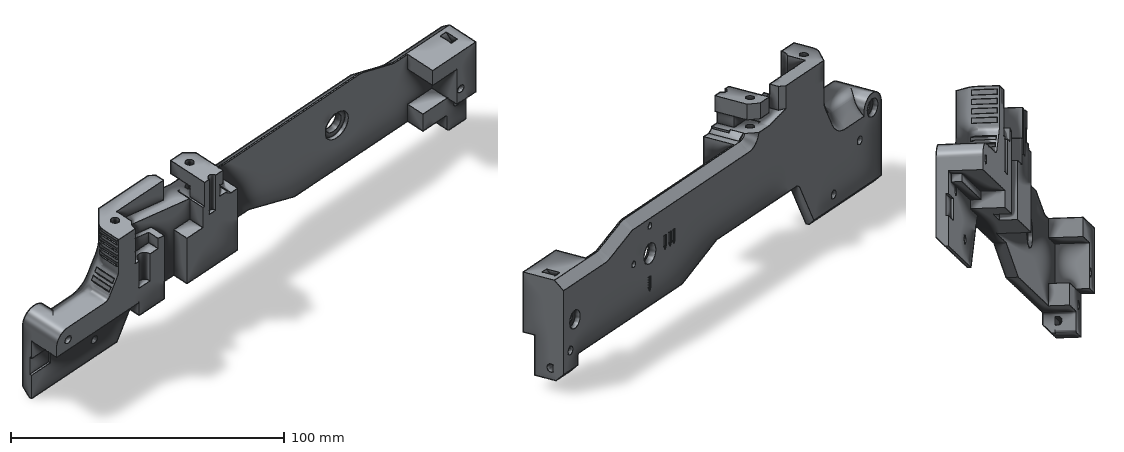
import cadquery as cq
import math


LENGTH = 218.2
HEIGHT = 65.0
WIDTH = 17.5
PLATE = 4.5

SLANT_FOOT_Y = 44.5
SLANT_TOP_Y = 56.7
BELLY_Z = 21.5
BELLY_REAR_Y = 113.0
TAIL_Z = 13.0
TAIL_FRONT_Y = 136.8
FOOT_Y = 208.5
FOOT_Z = 5.2

REAR_TOP_Z = 45.6
RAMP_REAR_Y = 188.5
RAMP_FRONT_Y = 171.5
SPINE_Z = 51.5
SPINE_FRONT_Y = 90.8
SADDLE_Z = 53.5
SADDLE_REAR_Y = 87.5
POST_FRONT_Y = 77.0
WALL_REAR_Y = 67.5
WALL_FOOT_Z = 55.5
WALL_X = 6.0
WALL_BEVEL = 2.0

TOWER_REAR_Y = 43.0
TOWER_FRONT_Y = 32.3
TOWER_FOOT_Z = 48.7
LEDGE_REAR_Y = 26.6
LEDGE_Z = 38.8
LEDGE_BOTTOM_Z = 28.0
NOSE_D = 12.0
NOSE_R = NOSE_D / 2
NOSE_Z = LEDGE_Z - NOSE_R
TOWER_BEVEL = 7.2
BEVEL_BLEND_R = NOSE_R
TOWER_BEND_R = 4.8
LEDGE_BEND_R = 3.0

TOP_BEVEL_X = 4.0
TOP_BEVEL_Z = 3.3
BOTTOM_BEVEL = 3.3
RAMP_BEND_R = 7.5
FOOT_ROUND_R = 1.0
SLANT_ROUND_R = 3.3

BULKHEAD_REAR_Y = 94.3
BULKHEAD_FRONT_Y = 76.2
SHELL_X = 10.7
SHELF_FRONT_Y = 67.9
SHELF_TOP_Z = 43.6
BLOCK_REAR_Y = 56.0
BLOCK_DROP = 5.5
POCKET_X = 12.7
POCKET_REAR_Y = 52.8
POCKET_Z = 48.0
LEDGE_RIB_X = 8.5
LEDGE_RIB_Z = 24.9

POST_REAR_Y = 86.6
POST_HEAD_Z = 58.7
POST_BEVEL = 3.5
NECK_X = 10.0
NECK_REAR_Y = 85.1
POST_STEP_Y = 88.8

FLANGE_FRONT_Y = 195.8
FLANGE_BOTTOM_Z = 38.5
REAR_WALL_STEP_Z = 21.4
FOOT_X = 12.5
FOOT_BORE_X = 5.5
FOOT_BORE_Z = 9.8

SCREW_D = 3.3
SCREW_HEAD_D = 7.2
SCREW_HEAD_DEPTH = 2.2
HEADED_SCREWS = [(NOSE_R, NOSE_Z), (210.4, 27.7)]
PLAIN_SCREWS = [(213.5, 16.4), (14.8, 23.1), (32.7, 8.3)]
SELECTOR_D = 8.0
SELECTOR_RECESS_D = 12.0
SELECTOR_RECESS_DEPTH = 1.7
SELECTOR_Y = 158.9
SELECTOR_Z = 34.0
DETENT_D = 2.5
DETENT_OFFSET = 11.1
DETENT_DEPTH = 1.7
OPEN_PIN_D = 5.7
OPEN_PIN_Y = 45.8
OPEN_PIN_BOTTOM_Z = 35.0
OPEN_PIN_HEAD_D = 9.5
PIN_BOTTOM_Z = 48.0
POST_PIN_X = 5.7
POST_PIN_Y = 81.2
TOWER_PIN_X = 9.0
TOWER_PIN_Y = 39.0

GROOVE_X0 = 7.0
GROOVE_X1 = 16.5
GROOVE_W = 2.0
GROOVE_DEPTH = 0.7
GROOVE_PITCH = 3.5
GROOVE_FIRST_Z = 62.9
GROOVE_COUNT = 4
RAMP_GROOVE_START = 3.7
RAMP_GROOVE_COUNT = 2

LATCH_X0 = 6.0
LATCH_X1 = 11.5
LATCH_Y0 = 211.5
LATCH_Y1 = 214.5
LATCH_DEPTH = 2.8
KEYWAY_DEPTH = 0.9
KEYWAY_Z0 = 11.3
KEYWAY_Z1 = 19.5
KEYWAY_LENGTH = 9.8
MARK_W = 1.5
MARK_H = 4.4
MARK_TIP = 1.3
MARK_DEPTH = 0.5
MARKS = [(148.5, 37.3), (145.0, 37.3), (142.3, 37.3), (SELECTOR_Y, 24.7)]

EPS = 0.2


def box(x0, x1, y0, y1, z0, z1):
    return cq.Workplane("XY").box(x1 - x0, y1 - y0, z1 - z0, centered=False).translate((x0, y0, z0))


def side_profile(points, x0, x1):
    """Extrude a (Y, Z) outline from x0 to x1."""
    return cq.Workplane("YZ", origin=(x0, 0, 0)).polyline(points).close().extrude(x1 - x0)


def hole_x(diameter, y, z, depth):
    """Cutter for a hole entering the outer face."""
    return cq.Workplane("YZ", origin=(-EPS, y, z)).circle(diameter / 2).extrude(depth + EPS)


def hole_z(diameter, x, y, z_bottom):
    """Cutter for a hole entering from the top."""
    return cq.Workplane("XY", origin=(x, y, z_bottom)).circle(diameter / 2).extrude(HEIGHT - z_bottom + EPS)


def round_corner(body, x, y, z, radius):
    """Fillet the edge running along X through the given point."""
    edge = cq.selectors.NearestToPointSelector((x, y, z))
    return body.edges(edge).fillet(radius)


def ramp_z(y):
    """Height of the sloped deck that rises from the saddle toward the tower."""
    slope = (WALL_FOOT_Z - SADDLE_Z) / (POST_FRONT_Y - WALL_REAR_Y)
    return SADDLE_Z + slope * (POST_FRONT_Y - y)


def front_plate():
    plate = side_profile([
        (0, 0),
        (SLANT_FOOT_Y, 0),
        (SLANT_TOP_Y, BELLY_Z),
        (POST_FRONT_Y, BELLY_Z),
        (POST_FRONT_Y, SADDLE_Z),
        (TOWER_REAR_Y, ramp_z(TOWER_REAR_Y)),
        (TOWER_REAR_Y, LEDGE_BOTTOM_Z),
        (0, LEDGE_BOTTOM_Z),
    ], 0, PLATE)
    plate = round_corner(plate, PLATE / 2, SLANT_TOP_Y, BELLY_Z, SLANT_ROUND_R)
    return plate.faces("<Z").edges("<X").chamfer(BOTTOM_BEVEL)


def rear_plate():
    rise = SADDLE_Z - SPINE_Z
    run = SPINE_FRONT_Y - SADDLE_REAR_Y
    bend_r = (run ** 2 + rise ** 2) / (2 * rise)
    half_angle = math.asin(run / bend_r) / 2
    bend_mid = (SPINE_FRONT_Y - bend_r * math.sin(half_angle),
                SPINE_Z + bend_r * (1 - math.cos(half_angle)))
    plate = (
        cq.Workplane("YZ")
        .moveTo(SADDLE_REAR_Y, SADDLE_Z)
        .lineTo(POST_FRONT_Y, SADDLE_Z)
        .lineTo(POST_FRONT_Y, BELLY_Z)
        .lineTo(BELLY_REAR_Y, BELLY_Z)
        .lineTo(TAIL_FRONT_Y, TAIL_Z)
        .lineTo(FOOT_Y, TAIL_Z)
        .lineTo(FOOT_Y, FOOT_Z)
        .lineTo(LENGTH, FOOT_Z)
        .lineTo(LENGTH, REAR_TOP_Z)
        .lineTo(RAMP_REAR_Y, REAR_TOP_Z)
        .lineTo(RAMP_FRONT_Y, SPINE_Z)
        .lineTo(SPINE_FRONT_Y, SPINE_Z)
        .threePointArc(bend_mid, (SADDLE_REAR_Y, SADDLE_Z))
        .close()
        .extrude(PLATE)
    )
    for y, z in [(RAMP_REAR_Y, REAR_TOP_Z), (RAMP_FRONT_Y, SPINE_Z)]:
        plate = round_corner(plate, PLATE / 2, y, z, RAMP_BEND_R)
    plate = round_corner(plate, PLATE / 2, FOOT_Y, TAIL_Z, FOOT_ROUND_R)
    plate = plate.faces("<Z").edges("<X").chamfer(BOTTOM_BEVEL)
    top_edges = plate.faces("<X").edges(
        cq.selectors.BoxSelector((-EPS, SADDLE_REAR_Y, REAR_TOP_Z - EPS),
                                 (EPS, LENGTH + EPS, SADDLE_Z + EPS)))
    return top_edges.chamfer(TOP_BEVEL_Z, TOP_BEVEL_X)


def tower():
    body = side_profile([
        (TOWER_REAR_Y, LEDGE_BOTTOM_Z),
        (TOWER_REAR_Y, HEIGHT),
        (TOWER_FRONT_Y, HEIGHT),
        (TOWER_FRONT_Y, TOWER_FOOT_Z),
        (LEDGE_REAR_Y, LEDGE_Z),
        (NOSE_R, LEDGE_Z),
        (NOSE_R, LEDGE_BOTTOM_Z),
    ], 0, WIDTH)
    body = round_corner(body, WIDTH / 2, TOWER_FRONT_Y, TOWER_FOOT_Z, TOWER_BEND_R)
    body = round_corner(body, WIDTH / 2, LEDGE_REAR_Y, LEDGE_Z, LEDGE_BEND_R)
    front_edge = cq.selectors.BoxSelector((-EPS, NOSE_R + EPS, LEDGE_Z - EPS),
                                          (EPS, TOWER_FRONT_Y + EPS, HEIGHT - EPS))
    body = body.edges(front_edge).chamfer(TOWER_BEVEL)
    blend_edge = cq.selectors.BoxSelector((TOWER_BEVEL - EPS, NOSE_R + EPS, LEDGE_Z - EPS),
                                          (TOWER_BEVEL + EPS, TOWER_FRONT_Y + EPS, HEIGHT - EPS))
    return body.edges(blend_edge).fillet(BEVEL_BLEND_R)


def nose():
    """Rounded front end of the ledge, concentric with its screw."""
    barrel = cq.Workplane("YZ", origin=(0, NOSE_R, NOSE_Z)).circle(NOSE_R).extrude(WIDTH)
    barrel = barrel.cut(box(0, WIDTH, 0, 2 * NOSE_R, 0, LEDGE_BOTTOM_Z))
    return barrel.union(box(0, WIDTH, 0, NOSE_R, LEDGE_BOTTOM_Z, NOSE_Z))


def upper_wall():
    wall = box(0, WALL_X, TOWER_REAR_Y, WALL_REAR_Y, WALL_FOOT_Z, HEIGHT)
    return wall.faces(">Y").edges("<X").chamfer(WALL_BEVEL)


def middle_shell():
    """Sloped deck, bulkhead and shelf behind the tower, and the rib under the ledge."""
    deck = side_profile([
        (TOWER_REAR_Y, BELLY_Z),
        (BULKHEAD_FRONT_Y, BELLY_Z),
        (BULKHEAD_FRONT_Y, ramp_z(BULKHEAD_FRONT_Y)),
        (TOWER_REAR_Y, ramp_z(TOWER_REAR_Y)),
    ], PLATE, SHELL_X)
    bulkhead = side_profile([
        (BULKHEAD_FRONT_Y, BELLY_Z),
        (BULKHEAD_FRONT_Y, SADDLE_Z),
        (SADDLE_REAR_Y, SADDLE_Z),
        (SPINE_FRONT_Y, SPINE_Z),
        (BULKHEAD_REAR_Y, SPINE_Z),
        (BULKHEAD_REAR_Y, BELLY_Z),
    ], PLATE, WIDTH)
    shelf = box(SHELL_X, WIDTH, SHELF_FRONT_Y, BULKHEAD_FRONT_Y, BELLY_Z, SHELF_TOP_Z)
    block = side_profile([
        (TOWER_REAR_Y, BELLY_Z),
        (BLOCK_REAR_Y, BELLY_Z),
        (BLOCK_REAR_Y, ramp_z(BLOCK_REAR_Y) - BLOCK_DROP),
        (TOWER_REAR_Y, ramp_z(TOWER_REAR_Y) - BLOCK_DROP),
    ], SHELL_X, WIDTH)
    pocket = box(POCKET_X, WIDTH + EPS, TOWER_REAR_Y, POCKET_REAR_Y, POCKET_Z, HEIGHT)
    rib = box(PLATE, LEDGE_RIB_X, NOSE_R, TOWER_REAR_Y, LEDGE_RIB_Z, LEDGE_BOTTOM_Z)
    return deck.union(rib).union(bulkhead).union(shelf).union(block.cut(pocket))


def post():
    head = box(0, WIDTH, POST_FRONT_Y, POST_REAR_Y, POST_HEAD_Z, HEIGHT)
    head = head.faces(">Y").edges("<X").chamfer(POST_BEVEL)
    neck = box(NECK_X, WIDTH, POST_FRONT_Y, NECK_REAR_Y, SADDLE_Z, POST_HEAD_Z)
    rear_step = box(NECK_X, WIDTH, SADDLE_REAR_Y, POST_STEP_Y, SPINE_Z, SADDLE_Z)
    return head.union(neck).union(rear_step)


def rear_end():
    flange = box(TOP_BEVEL_X, WIDTH, FLANGE_FRONT_Y, LENGTH, FLANGE_BOTTOM_Z, REAR_TOP_Z)
    wall = box(PLATE, WIDTH, FOOT_Y, LENGTH, REAR_WALL_STEP_Z, FLANGE_BOTTOM_Z)
    foot = side_profile([
        (LENGTH, FOOT_Z),
        (FOOT_Y, FOOT_Z),
        (FOOT_Y, TAIL_Z),
        (FLANGE_FRONT_Y, TAIL_Z),
        (FLANGE_FRONT_Y, REAR_WALL_STEP_Z),
        (LENGTH, REAR_WALL_STEP_Z),
    ], PLATE, FOOT_X)
    foot = round_corner(foot, (PLATE + FOOT_X) / 2, FOOT_Y, TAIL_Z, FOOT_ROUND_R)
    foot = round_corner(foot, (PLATE + FOOT_X) / 2, FOOT_Y, FOOT_Z, FOOT_ROUND_R)
    foot = foot.cut(cq.Workplane("XZ", origin=(FOOT_BORE_X, LENGTH + EPS, FOOT_BORE_Z))
                    .circle(SCREW_D / 2).extrude(LENGTH - FOOT_Y + 2 * EPS))
    return flange.union(wall).union(foot)


def screw_cutters():
    cutters = cq.Workplane("YZ")
    for y, z in HEADED_SCREWS:
        cutters = cutters.union(hole_x(SCREW_HEAD_D, y, z, SCREW_HEAD_DEPTH))
        cutters = cutters.union(hole_x(SCREW_D, y, z, WIDTH + EPS))
    for y, z in PLAIN_SCREWS:
        cutters = cutters.union(hole_x(SCREW_D, y, z, WIDTH + EPS))
    return cutters


def selector_cutters():
    """Selector bore, two detent dimples and the pointed marks around it."""
    cutters = hole_x(SELECTOR_D, SELECTOR_Y, SELECTOR_Z, PLATE + EPS)
    recess = cq.Workplane("YZ", origin=(PLATE - SELECTOR_RECESS_DEPTH, SELECTOR_Y, SELECTOR_Z))
    cutters = cutters.union(recess.circle(SELECTOR_RECESS_D / 2).extrude(SELECTOR_RECESS_DEPTH + EPS))
    for y, z in [(SELECTOR_Y, SELECTOR_Z + DETENT_OFFSET), (SELECTOR_Y + DETENT_OFFSET, SELECTOR_Z)]:
        cutters = cutters.union(hole_x(DETENT_D, y, z, DETENT_DEPTH))
    for y, z in MARKS:
        cutters = cutters.union(side_profile([
            (y - MARK_W / 2, z),
            (y + MARK_W / 2, z),
            (y + MARK_W / 2, z - MARK_H),
            (y, z - MARK_H - MARK_TIP),
            (y - MARK_W / 2, z - MARK_H),
        ], -EPS, MARK_DEPTH))
    return cutters


def pin_cutters():
    return (
        hole_z(SCREW_D, POST_PIN_X, POST_PIN_Y, PIN_BOTTOM_Z)
        .union(hole_z(SCREW_D, WIDTH, POST_PIN_Y, PIN_BOTTOM_Z))
        .union(hole_z(SCREW_D, TOWER_PIN_X, TOWER_PIN_Y, PIN_BOTTOM_Z))
        .union(hole_z(OPEN_PIN_HEAD_D, WIDTH, OPEN_PIN_Y, POCKET_Z))
        .union(hole_z(OPEN_PIN_D, WIDTH, OPEN_PIN_Y, OPEN_PIN_BOTTOM_Z))
    )


def groove_cutters():
    """Grooves across the tower front, continued at the same pitch down its ramp."""
    groove = box(GROOVE_X0, GROOVE_X1, -GROOVE_DEPTH, GROOVE_DEPTH, -GROOVE_W / 2, GROOVE_W / 2)
    lean = math.degrees(math.atan2(TOWER_FRONT_Y - LEDGE_REAR_Y, TOWER_FOOT_Z - LEDGE_Z))
    cutters = cq.Workplane("XY")
    for i in range(GROOVE_COUNT):
        cutters = cutters.union(groove.translate((0, TOWER_FRONT_Y, GROOVE_FIRST_Z - i * GROOVE_PITCH)))
    for i in range(RAMP_GROOVE_COUNT):
        tilted = groove.rotate((0, 0, 0), (1, 0, 0), -lean)
        distance = RAMP_GROOVE_START + i * GROOVE_PITCH
        drop_y = distance * math.sin(math.radians(lean))
        drop_z = distance * math.cos(math.radians(lean))
        cutters = cutters.union(tilted.translate((0, TOWER_FRONT_Y - drop_y, TOWER_FOOT_Z - drop_z)))
    return cutters


def latch_cutter():
    middle_x = (LATCH_X0 + LATCH_X1) / 2
    return (
        cq.Workplane("XZ", origin=(0, LATCH_Y1, 0))
        .polyline([(LATCH_X0, REAR_TOP_Z), (LATCH_X1, REAR_TOP_Z), (middle_x, REAR_TOP_Z - LATCH_DEPTH)])
        .close()
        .extrude(LATCH_Y1 - LATCH_Y0)
    )


def keyway_cutter():
    return box(PLATE - KEYWAY_DEPTH, PLATE + EPS, -EPS, KEYWAY_LENGTH, KEYWAY_Z0, KEYWAY_Z1)


result = (
    front_plate()
    .union(rear_plate())
    .union(tower())
    .union(nose())
    .union(upper_wall())
    .union(middle_shell())
    .union(post())
    .union(rear_end())
    .cut(screw_cutters())
    .cut(selector_cutters())
    .cut(pin_cutters())
    .cut(groove_cutters())
    .cut(latch_cutter())
    .cut(keyway_cutter())
)